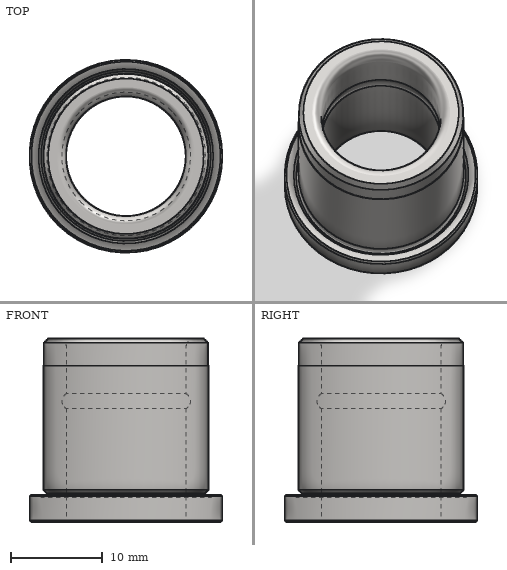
import cadquery as cq
import math

total_height = 20.0
flange_diameter = 21.0
flange_thickness = 3.0
flange_chamfer = 0.2
body_diameter = 18.0
lead_diameter = 17.91
lead_length = 3.0
lead_chamfer = 0.5
bore_diameter = 13.0
bore_mouth_radius = 1.0

relief_reach = 0.5
relief_upper_depth = 0.38
relief_lower_depth = 0.27
relief_arc_bulge = 0.19

groove_width = 1.64
groove_depth = 0.5
groove_height = 13.19

flange_radius = flange_diameter / 2
body_radius = body_diameter / 2
lead_radius = lead_diameter / 2
bore_radius = bore_diameter / 2


def make_outside():
    """Solid of revolution with flange, body and slightly smaller lead-in."""
    lead_base = total_height - lead_length
    flange = (
        cq.Workplane("XY").circle(flange_radius).extrude(flange_thickness)
        .edges().chamfer(flange_chamfer)
    )
    body = cq.Workplane("XY").circle(body_radius).extrude(lead_base)
    lead = (
        cq.Workplane("XY").workplane(offset=lead_base).circle(lead_radius).extrude(lead_length)
        .faces(">Z").edges().chamfer(lead_chamfer)
    )
    return flange.union(body).union(lead)


def make_relief():
    """Ring cutter: two 45 degree walls joined by a concave arc."""
    upper_edge = (body_radius, flange_thickness + relief_reach)
    upper_wall_end = (body_radius - relief_upper_depth, upper_edge[1] - relief_upper_depth)
    lower_edge = (body_radius + relief_reach, flange_thickness)
    lower_wall_end = (lower_edge[0] - relief_lower_depth, flange_thickness - relief_lower_depth)
    return (
        cq.Workplane("XZ")
        .moveTo(*upper_edge)
        .lineTo(*upper_wall_end)
        .sagittaArc(lower_wall_end, -relief_arc_bulge)
        .lineTo(*lower_edge)
        .close()
        .revolve(360, (0, 0), (0, 1))
    )


def make_bore():
    """Through bore cutter, flared by a rounded mouth at the top."""
    mouth_base = total_height - bore_mouth_radius
    mouth_edge = bore_radius + bore_mouth_radius
    diagonal = bore_mouth_radius * math.sqrt(0.5)
    return (
        cq.Workplane("XZ")
        .lineTo(bore_radius, 0)
        .lineTo(bore_radius, mouth_base)
        .threePointArc((mouth_edge - diagonal, mouth_base + diagonal), (mouth_edge, total_height))
        .lineTo(0, total_height)
        .close()
        .revolve(360, (0, 0), (0, 1))
    )


def make_groove():
    """Ring cutter with a circular-arc bottom, open towards the bore."""
    bottom_edge = groove_height - groove_width / 2
    top_edge = groove_height + groove_width / 2
    return (
        cq.Workplane("XZ")
        .moveTo(bore_radius, bottom_edge)
        .threePointArc((bore_radius + groove_depth, groove_height), (bore_radius, top_edge))
        .close()
        .revolve(360, (0, 0), (0, 1))
    )


result = make_outside().cut(make_relief()).cut(make_bore()).cut(make_groove())